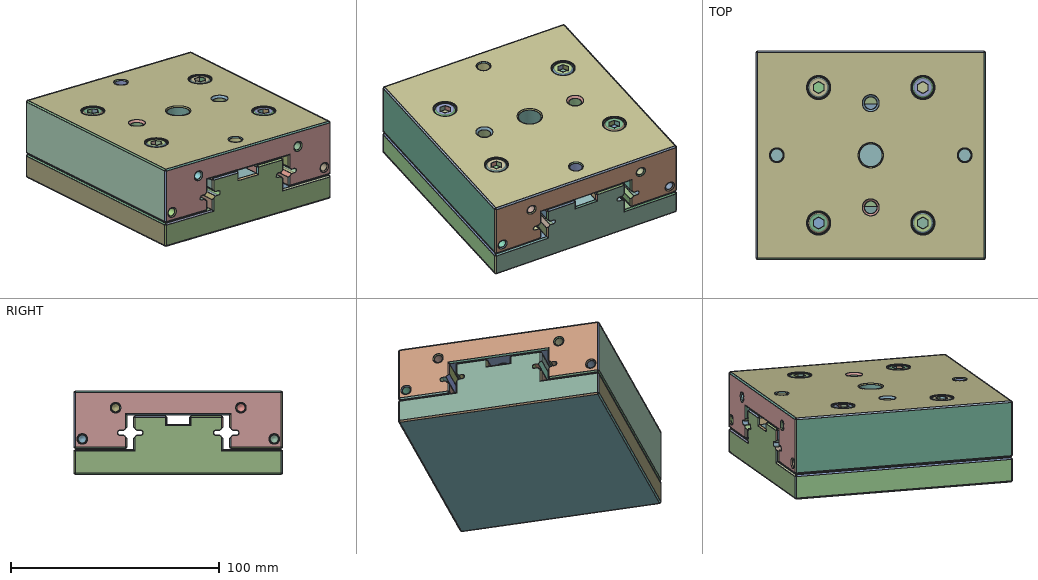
import cadquery as cq
import math

LENGTH = 110.0
WIDTH = 100.0
HEIGHT = 40.0
EDGE_CHAMFER = 0.7
POSITION_TOLERANCE = 0.01

LEDGE_Z = 12.0
RAIL_TOP_Z = 28.0
RAIL_HALF_WIDTH = 21.5
NOTCH_HALF_WIDTH = 5.5
NOTCH_FLOOR_Z = 24.1

CLEARANCE = 0.4
CARRIAGE_BOTTOM_Z = LEDGE_Z + CLEARANCE
CHANNEL_CEILING_Z = RAIL_TOP_Z + CLEARANCE
CHANNEL_HALF_WIDTH = 24.5

RACEWAY_Z = 20.0
RACEWAY_Y = (RAIL_HALF_WIDTH + CHANNEL_HALF_WIDTH) / 2
VEE_DEPTH = 1.6
RELIEF_HALF_HEIGHT = 1.1
RELIEF_REACH = 6.0

CENTER_HOLE_DIAMETER = 11.0
CENTER_HOLE_CHAMFER = 0.5
DOWEL_HOLE_DIAMETER = 6.0
DOWEL_HOLE_CHAMFER = 0.5
DOWEL_HOLE_X = 45.0
MOUNT_HOLE_DIAMETER = 6.0
MOUNT_HOLE_CHAMFER = 1.05
MOUNT_HOLE_Y = 25.0

SCREW_X = 25.0
SCREW_Y = 32.5
SCREW_HEAD_DIAMETER = 10.0
SCREW_HEAD_FILLET = 0.7
SCREW_HEAD_HEIGHT = 6.0
SCREW_HEAD_RECESS = 0.2
SOCKET_FLATS = 5.0
SOCKET_DEPTH = 2.5
COUNTERBORE_DIAMETER = 11.0
COUNTERBORE_CHAMFER = 0.28

END_HOLE_PLACES = [(30.0, 32.0), (46.0, 17.0)]
END_HOLE_DIAMETER = 4.0
END_HOLE_CHAMFER = 0.5
END_HOLE_DEPTH = 9.9
DRILL_TIP_HALF_ANGLE = math.radians(59)


def bar_along_x(profile):
    """Extrude a closed (Y, Z) outline over the full length, centred on X = 0."""
    return cq.Workplane("YZ").polyline(profile).close().extrude(LENGTH / 2, both=True)


def chamfer_outer_edges(body, inner_corners):
    """Chamfer every edge except the lengthwise ones that run through the given inner (Y, Z) corners."""
    def is_outer(edge):
        middle = edge.Center()
        return all(math.hypot(abs(middle.y) - y, middle.z - z) > POSITION_TOLERANCE for y, z in inner_corners)

    outer_edges = [edge for edge in body.edges().vals() if is_outer(edge)]
    return body.newObject(outer_edges).chamfer(EDGE_CHAMFER)


def revolved_cutter(diameter, chamfer, depth, tip_length=0.0):
    """Solid of a chamfered hole: mouth at Z = 0, running down to -depth, with an optional conical tip."""
    radius = diameter / 2
    outline = [
        (0, 0),
        (radius + chamfer, 0),
        (radius, -chamfer),
        (radius, -depth),
        (0, -depth - tip_length),
    ]
    return cq.Workplane("XZ").polyline(outline).close().revolve(360, (0, 0), (0, 1))


def raceways():
    """Both raceway voids, spanning the gap between the rail and the channel walls."""
    half_gap = (CHANNEL_HALF_WIDTH - RAIL_HALF_WIDTH) / 2
    vee_end = half_gap + VEE_DEPTH
    vee_half_height = RELIEF_HALF_HEIGHT + VEE_DEPTH
    places = [(-RACEWAY_Y, RACEWAY_Z), (RACEWAY_Y, RACEWAY_Z)]
    vee_outline = [
        (-vee_end, -RELIEF_HALF_HEIGHT),
        (-half_gap, -vee_half_height),
        (half_gap, -vee_half_height),
        (vee_end, -RELIEF_HALF_HEIGHT),
        (vee_end, RELIEF_HALF_HEIGHT),
        (half_gap, vee_half_height),
        (-half_gap, vee_half_height),
        (-vee_end, RELIEF_HALF_HEIGHT),
    ]
    voids = cq.Workplane("YZ").pushPoints(places).slot2D(2 * RELIEF_REACH, 2 * RELIEF_HALF_HEIGHT)
    voids = voids.extrude(LENGTH / 2, both=True)
    for y, z in places:
        voids = voids.union(bar_along_x([(y + dy, z + dz) for dy, dz in vee_outline]))
    return voids


def make_base():
    half = [
        (WIDTH / 2, 0),
        (WIDTH / 2, LEDGE_Z),
        (RAIL_HALF_WIDTH, LEDGE_Z),
        (RAIL_HALF_WIDTH, RAIL_TOP_Z),
        (NOTCH_HALF_WIDTH, RAIL_TOP_Z),
        (NOTCH_HALF_WIDTH, NOTCH_FLOOR_Z),
    ]
    body = bar_along_x(half + [(-y, z) for y, z in reversed(half)])
    body = chamfer_outer_edges(body, [(RAIL_HALF_WIDTH, LEDGE_Z), (NOTCH_HALF_WIDTH, NOTCH_FLOOR_Z)])
    return body.cut(raceways())


def make_carriage():
    half = [
        (WIDTH / 2, HEIGHT),
        (WIDTH / 2, CARRIAGE_BOTTOM_Z),
        (CHANNEL_HALF_WIDTH, CARRIAGE_BOTTOM_Z),
        (CHANNEL_HALF_WIDTH, CHANNEL_CEILING_Z),
    ]
    body = bar_along_x(half + [(-y, z) for y, z in reversed(half)])
    body = chamfer_outer_edges(body, [(CHANNEL_HALF_WIDTH, CHANNEL_CEILING_Z)])
    body = body.cut(raceways())
    body = cut_top_holes(body)
    body = add_screws(body)
    return cut_end_holes(body)


def cut_top_holes(body):
    """Holes through the roof of the channel, each stopping at ceiling level."""
    roof = HEIGHT - CHANNEL_CEILING_Z
    center_hole = revolved_cutter(CENTER_HOLE_DIAMETER, CENTER_HOLE_CHAMFER, roof)
    dowel_hole = revolved_cutter(DOWEL_HOLE_DIAMETER, DOWEL_HOLE_CHAMFER, roof)
    mount_hole = revolved_cutter(MOUNT_HOLE_DIAMETER, MOUNT_HOLE_CHAMFER, roof)
    body = body.cut(center_hole.translate((0, 0, HEIGHT)))
    for side in (-1, 1):
        body = body.cut(dowel_hole.translate((side * DOWEL_HOLE_X, 0, HEIGHT)))
        body = body.cut(mount_hole.translate((0, side * MOUNT_HOLE_Y, HEIGHT)))
    return body


def screw_head():
    """Socket screw head standing on Z = 0."""
    head = cq.Workplane("XY").circle(SCREW_HEAD_DIAMETER / 2).extrude(SCREW_HEAD_HEIGHT)
    head = head.faces(">Z").edges().fillet(SCREW_HEAD_FILLET)
    socket = cq.Workplane("XY", origin=(0, 0, SCREW_HEAD_HEIGHT))
    socket = socket.polygon(6, SOCKET_FLATS, circumscribed=True).extrude(-SOCKET_DEPTH)
    return head.cut(socket)


def add_screws(body):
    """Counterbores in the top face, each with a screw head fused to its floor."""
    counterbore_depth = SCREW_HEAD_HEIGHT + SCREW_HEAD_RECESS
    counterbore = revolved_cutter(COUNTERBORE_DIAMETER, COUNTERBORE_CHAMFER, counterbore_depth)
    for x in (-SCREW_X, SCREW_X):
        for y in (-SCREW_Y, SCREW_Y):
            body = body.cut(counterbore.translate((x, y, HEIGHT)))
            body = body.union(screw_head().translate((x, y, HEIGHT - counterbore_depth)))
    return body


def cut_end_holes(body):
    """Blind drilled holes in both end faces of the carriage."""
    tip_length = END_HOLE_DIAMETER / 2 / math.tan(DRILL_TIP_HALF_ANGLE)
    hole = revolved_cutter(END_HOLE_DIAMETER, END_HOLE_CHAMFER, END_HOLE_DEPTH, tip_length)
    for end in (-1, 1):
        end_hole = hole.rotate((0, 0, 0), (0, 1, 0), end * 90).translate((end * LENGTH / 2, 0, 0))
        for y, z in END_HOLE_PLACES:
            for side in (-1, 1):
                body = body.cut(end_hole.translate((0, side * y, z)))
    return body


base = make_base()
carriage = make_carriage()

result = cq.Compound.makeCompound([base.solids().val(), carriage.solids().val()])